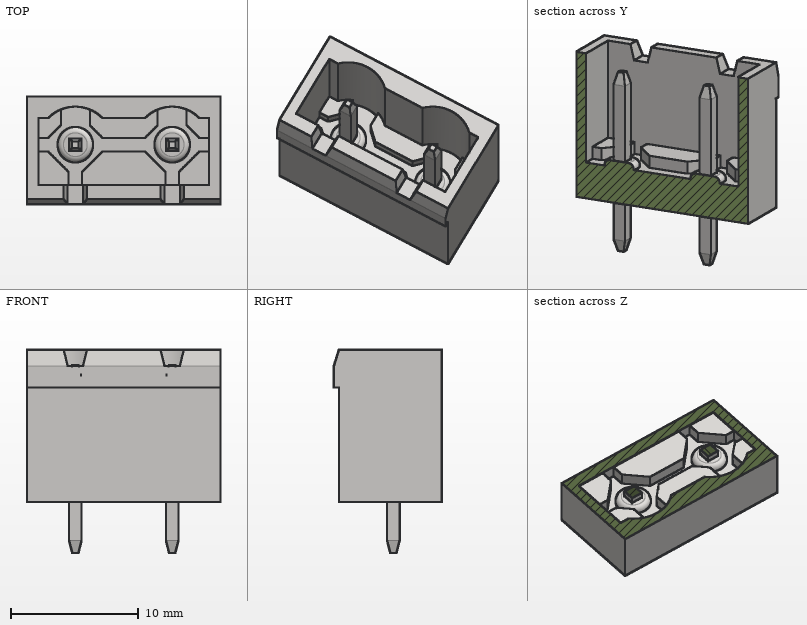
import cadquery as cq
import math


POLE_COUNT = 2
PITCH = 7.62
WIDTH = POLE_COUNT * PITCH
HEIGHT = 12.0
BACK_Y = 3.8
DEPTH = 8.1
FRONT_Y = BACK_Y - DEPTH

LIP_PROJECTION = 0.4
LIP_HEIGHT = 3.0
LIP_CHAMFER_HEIGHT = 1.3
LIP_FRONT_Y = FRONT_Y - LIP_PROJECTION

SIDE_WALL = 0.9
BACK_WALL = 1.7
POCKET_LENGTH_Y = 5.3
POCKET_HALF_WIDTH = WIDTH / 2 - SIDE_WALL
POCKET_BACK_Y = BACK_Y - BACK_WALL
POCKET_FRONT_Y = POCKET_BACK_Y - POCKET_LENGTH_Y
BULGE_RADIUS = 3.0
BULGE_HALF_WIDTH = math.sqrt(BULGE_RADIUS**2 - POCKET_BACK_Y**2)

FLOOR_Z = 3.0
PAD_HEIGHT = 1.0
PAD_TOP_Z = FLOOR_Z + PAD_HEIGHT
CHANNEL_WIDTH = 1.09
BACK_CHANNEL_WIDTH = 2.27
CROSSING_HALF_DIAGONAL = 2.67

COLLAR_DIAMETER = 2.8
COLLAR_FILLET = 0.46
COLLAR_HEIGHT = 0.51

NOTCH_TOP_WIDTH = 1.84
NOTCH_FLOOR_WIDTH = 1.2
NOTCH_DEPTH = LIP_CHAMFER_HEIGHT

PIN_SIZE = 1.0
PIN_TIP_SIZE = 0.5
PIN_TAPER = 1.0
PIN_BOTTOM_Z = -4.0
PIN_TOP_RECESS = 1.23
PIN_TOP_Z = HEIGHT - PIN_TOP_RECESS

PIN_XS = [(i - (POLE_COUNT - 1) / 2) * PITCH for i in range(POLE_COUNT)]


def make_block():
    """Outer block with the chamfered lip, extruded along X from its side profile."""
    profile = [
        (BACK_Y, 0),
        (BACK_Y, HEIGHT),
        (FRONT_Y, HEIGHT),
        (LIP_FRONT_Y, HEIGHT - LIP_CHAMFER_HEIGHT),
        (LIP_FRONT_Y, HEIGHT - LIP_HEIGHT),
        (FRONT_Y, HEIGHT - LIP_HEIGHT),
        (FRONT_Y, 0),
    ]
    return cq.Workplane("YZ").polyline(profile).close().extrude(WIDTH / 2, both=True)


def make_pocket(bottom_z):
    """Space of the plug pocket above bottom_z, with an arched bulge in the back wall at each pin."""
    outline = (
        cq.Workplane("XY", origin=(0, 0, bottom_z))
        .moveTo(POCKET_HALF_WIDTH, POCKET_FRONT_Y)
        .lineTo(-POCKET_HALF_WIDTH, POCKET_FRONT_Y)
        .lineTo(-POCKET_HALF_WIDTH, POCKET_BACK_Y)
    )
    for x in PIN_XS:
        outline = outline.lineTo(x - BULGE_HALF_WIDTH, POCKET_BACK_Y).threePointArc(
            (x, BULGE_RADIUS), (x + BULGE_HALF_WIDTH, POCKET_BACK_Y)
        )
    outline = outline.lineTo(POCKET_HALF_WIDTH, POCKET_BACK_Y).close()
    return outline.extrude(HEIGHT - bottom_z)


def make_channels():
    """Channels between the pads: one along the pin row, and a crossing with two branches per pin."""
    floor = cq.Workplane("XY", origin=(0, 0, FLOOR_Z))
    channels = floor.rect(WIDTH, CHANNEL_WIDTH).extrude(PAD_HEIGHT)
    crossing_side = CROSSING_HALF_DIAGONAL * math.sqrt(2)
    for x in PIN_XS:
        crossing = (
            cq.Workplane("XY")
            .rect(crossing_side, crossing_side)
            .extrude(PAD_HEIGHT)
            .rotate((0, 0, 0), (0, 0, 1), 45)
            .translate((x, 0, FLOOR_Z))
        )
        back_branch = (
            floor.center(x, BACK_Y / 2).rect(BACK_CHANNEL_WIDTH, BACK_Y).extrude(PAD_HEIGHT)
        )
        front_branch = (
            floor.center(x, FRONT_Y / 2).rect(CHANNEL_WIDTH, -FRONT_Y).extrude(PAD_HEIGHT)
        )
        channels = channels.union(crossing).union(back_branch).union(front_branch)
    return channels.intersect(make_pocket(FLOOR_Z))


def make_collar(x):
    """Round collar on the channel floor with a rounded top edge."""
    return (
        cq.Workplane("XY", origin=(x, 0, FLOOR_Z))
        .circle(COLLAR_DIAMETER / 2)
        .extrude(COLLAR_HEIGHT)
        .faces(">Z")
        .edges()
        .fillet(COLLAR_FILLET)
    )


def make_notch(x):
    """Key notch from the pocket out through the front wall, narrowing downwards."""
    floor_z = HEIGHT - NOTCH_DEPTH
    profile = [
        (x - NOTCH_TOP_WIDTH / 2, HEIGHT),
        (x + NOTCH_TOP_WIDTH / 2, HEIGHT),
        (x + NOTCH_FLOOR_WIDTH / 2, floor_z),
        (x - NOTCH_FLOOR_WIDTH / 2, floor_z),
    ]
    return (
        cq.Workplane("XZ", origin=(0, POCKET_FRONT_Y, 0))
        .polyline(profile)
        .close()
        .extrude(POCKET_FRONT_Y - LIP_FRONT_Y)
    )


def make_pin_taper(x, base_z, tip_z):
    """Square taper from the full pin section at base_z to the blunt tip at tip_z."""
    return (
        cq.Workplane("XY", origin=(x, 0, base_z))
        .rect(PIN_SIZE, PIN_SIZE)
        .workplane(offset=tip_z - base_z)
        .rect(PIN_TIP_SIZE, PIN_TIP_SIZE)
        .loft(ruled=True)
    )


def make_pin(x):
    """Square pin tapered at both ends."""
    shank_bottom_z = PIN_BOTTOM_Z + PIN_TAPER
    shank_top_z = PIN_TOP_Z - PIN_TAPER
    shank = (
        cq.Workplane("XY", origin=(x, 0, shank_bottom_z))
        .rect(PIN_SIZE, PIN_SIZE)
        .extrude(shank_top_z - shank_bottom_z)
    )
    top_tip = make_pin_taper(x, shank_top_z, PIN_TOP_Z)
    bottom_tip = make_pin_taper(x, shank_bottom_z, PIN_BOTTOM_Z)
    return shank.union(top_tip).union(bottom_tip)


def make_housing():
    """Housing with its pocket, floor pads, collars, key notches and pin holes."""
    body = make_block().cut(make_pocket(PAD_TOP_Z)).cut(make_channels())
    for x in PIN_XS:
        body = body.union(make_collar(x)).cut(make_notch(x))
        pin_hole = cq.Workplane("XY").center(x, 0).rect(PIN_SIZE, PIN_SIZE).extrude(HEIGHT)
        body = body.cut(pin_hole)
    return body


housing = make_housing().solids()
pins = [make_pin(x).solids() for x in PIN_XS]

result = cq.Compound.makeCompound([housing.val(), *[pin.val() for pin in pins]])